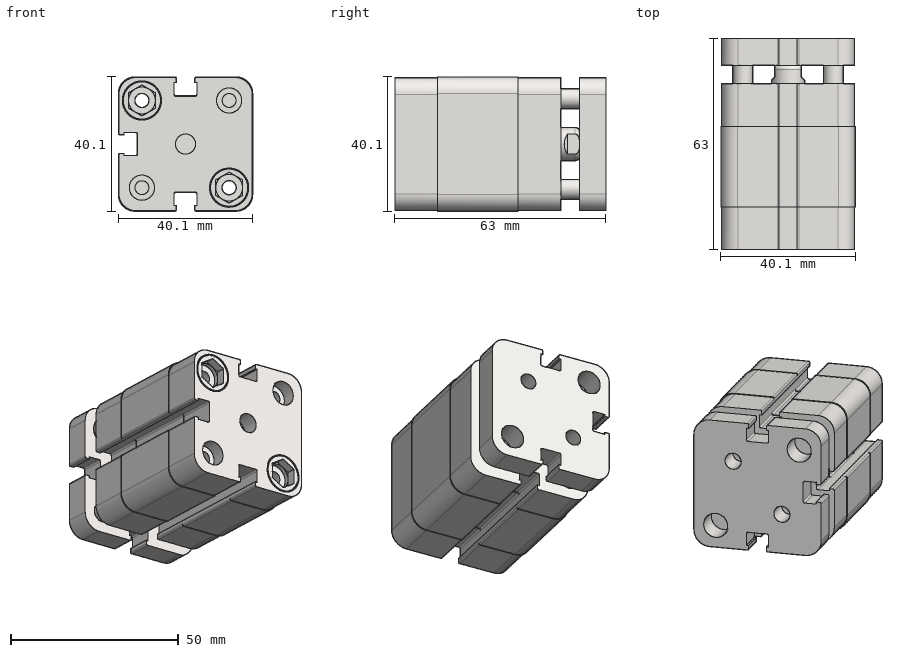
import cadquery as cq
import math


end_cap_length = 12.75
barrel_length = 24
body_length = 2 * end_cap_length + barrel_length
gap_length = 5.5
plate_length = 8
plate_start = body_length + gap_length

barrel_width = 40.1
cap_width = 39.7
corner_radius = 5

slot_opening_width = 5.5
slot_inner_width = 6.8
slot_lip_depth = 1.75
slot_depth = 5.6
slot_mouth_radius = 0.45
slot_floor_radius = 0.5
slot_lip_height = barrel_width / 2 - slot_lip_depth
slot_angles = (0, 90, 180)

mount_offset = 13
mount_hole_diameter = 4.13
counterbore_diameter = 7.5
counterbore_depth = 4.5
screw_corners = ((-mount_offset, mount_offset), (mount_offset, -mount_offset))
plain_corners = ((-mount_offset, -mount_offset), (mount_offset, mount_offset))
plain_hole_depth = 12.75
plate_hole_diameter = counterbore_diameter

small_hole_diameter = 5
small_hole_offset = 7.6
small_hole_positions = (
    (-small_hole_offset, -small_hole_offset),
    (small_hole_offset, small_hole_offset),
)

screw_bore_diameter = 11.7
screw_head_diameter = 11.1
screw_groove_depth = 0.5
hex_sides = 6
hex_across_flats = 8
hex_depth = 3
socket_bore_diameter = hex_across_flats
socket_depth = 4.5

centre_hole_diameter = 6
centre_hole_depth = 6

rod_diameter = 10
rod_across_flats = 8
rod_tip_radius = 1.35
rod_tip_insertion = 0.1
flat_length = 3.5
flat_runout = (rod_diameter - rod_across_flats) / 2

pin_diameter = 6
pin_offset = 13.5
pin_positions = ((-pin_offset, -pin_offset), (pin_offset, pin_offset))


def section_plane(y):
    """Plane across the axis at the given Y, with local x = X, local y = Z, normal = -Y."""
    return cq.Workplane("XZ", origin=(0, y, 0))


def cylinder(points, diameter, start, length):
    """Cylinders at the given (X, Z) points, running towards +Y from start."""
    return section_plane(start).pushPoints(points).circle(diameter / 2).extrude(-length)


def rounded_block(width, start, length):
    block = section_plane(start).rect(width, width).extrude(-length)
    return block.edges("|Y").fillet(corner_radius)


def slot_cutter(width, start, length):
    """T-slot along Y in the +Z side of a block of the given width."""
    face = width / 2
    slot_floor_height = face - slot_depth
    half_opening = slot_opening_width / 2
    round_start = face - slot_mouth_radius
    half_mouth = half_opening + slot_mouth_radius
    arc_reach = slot_mouth_radius * math.sqrt(0.5)
    mid_height = round_start + arc_reach
    mid_half = half_mouth - arc_reach
    mouth = (
        section_plane(start)
        .moveTo(-half_opening, slot_floor_height)
        .lineTo(-half_opening, round_start)
        .threePointArc((-mid_half, mid_height), (-half_mouth, face))
        .lineTo(half_mouth, face)
        .threePointArc((mid_half, mid_height), (half_opening, round_start))
        .lineTo(half_opening, slot_floor_height)
        .close()
        .extrude(-length)
    )
    chamber_height = slot_lip_height - slot_floor_height
    chamber = (
        section_plane(start)
        .center(0, slot_floor_height + chamber_height / 2)
        .rect(slot_inner_width, chamber_height)
        .extrude(-length)
        .edges("|Y and <Z")
        .fillet(slot_floor_radius)
    )
    return mouth.union(chamber)


def slotted_block(width, start, length):
    block = rounded_block(width, start, length)
    cutter = slot_cutter(width, start, length)
    for angle in slot_angles:
        block = block.cut(cutter.rotate((0, 0, 0), (0, 1, 0), -angle))
    return block


def screw_cuts():
    """Groove around each screw head, hexagon socket and the bores behind it."""
    groove = cylinder(screw_corners, screw_bore_diameter, 0, screw_groove_depth)
    groove = groove.cut(cylinder(screw_corners, screw_head_diameter, 0, screw_groove_depth))
    hex_corner_radius = hex_across_flats / math.sqrt(3)
    hexagon = cq.Sketch().regularPolygon(hex_corner_radius, hex_sides)
    sockets = section_plane(0).pushPoints(screw_corners).placeSketch(hexagon).extrude(-hex_depth)
    socket_bores = cylinder(screw_corners, socket_bore_diameter, 0, socket_depth)
    through_bores = cylinder(screw_corners, mount_hole_diameter, 0, body_length)
    return groove.union(sockets).union(socket_bores).union(through_bores)


def make_body():
    barrel_end = end_cap_length + barrel_length
    body = slotted_block(cap_width, 0, end_cap_length)
    body = body.union(slotted_block(barrel_width, end_cap_length, barrel_length))
    body = body.union(slotted_block(cap_width, barrel_end, end_cap_length))
    body = body.cut(screw_cuts())
    body = body.cut(cylinder(plain_corners, mount_hole_diameter, 0, plain_hole_depth))
    body = body.cut(cylinder(plain_corners, counterbore_diameter, 0, counterbore_depth))
    return body.cut(cylinder([(0, 0)], centre_hole_diameter, 0, centre_hole_depth))


def make_plate():
    plate = slotted_block(cap_width, plate_start, plate_length)
    plate = plate.cut(cylinder(small_hole_positions, small_hole_diameter, plate_start, plate_length))
    return plate.cut(cylinder(screw_corners, plate_hole_diameter, plate_start, plate_length))


def make_rod():
    length = gap_length + rod_tip_insertion
    rod = cylinder([(0, 0)], rod_diameter, body_length, length)
    rod = rod.faces(">Y").edges().fillet(rod_tip_radius)
    half_flats = rod_across_flats / 2
    flat_start = plate_start - flat_length
    flat_end = plate_start + rod_tip_insertion
    flat_cutter = (
        cq.Workplane("XY", origin=(0, 0, -rod_diameter / 2))
        .moveTo(half_flats, flat_end)
        .lineTo(half_flats, flat_start)
        .lineTo(half_flats + flat_runout, flat_start - flat_runout)
        .lineTo(half_flats + flat_runout, flat_end)
        .close()
        .extrude(rod_diameter)
    )
    return rod.cut(flat_cutter).cut(flat_cutter.mirror("YZ"))


guide_pins = cylinder(pin_positions, pin_diameter, body_length, gap_length)
result = make_body().union(make_rod()).union(guide_pins).union(make_plate())